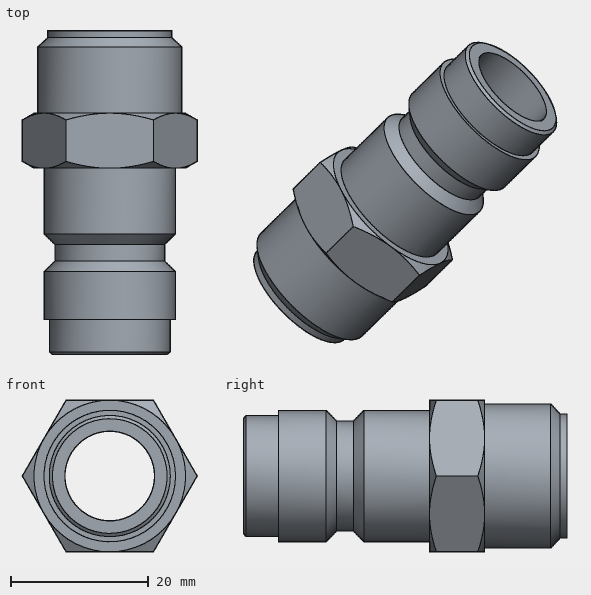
import cadquery as cq
import math

length = 47.0
bore_radius = 6.5

nose_radius = 8.8
nose_length = 5.08
nose_chamfer_width = 0.45
nose_chamfer_length = 0.38
body_radius = 9.55

groove_radius = 8.0
groove_start = 12.05
groove_end = 17.5
groove_wall_length = 1.5

hex_across_flats = 22.0
hex_start = 27.02
hex_width = 8.0
hex_end = hex_start + hex_width
hex_chamfer_angle = 30.0

thread_radius = 10.5
tip_radius = 9.02
tip_length = 1.05
thread_taper_length = 1.35


def revolve_about_axis(points):
    """Revolve a closed (radius, axial position) outline about Y."""
    return cq.Workplane("XY").polyline(points).close().revolve(360, (0, 0, 0), (0, 1, 0))


def turned_body():
    tip_start = length - tip_length
    return revolve_about_axis([
        (0, 0),
        (nose_radius - nose_chamfer_width, 0),
        (nose_radius, nose_chamfer_length),
        (nose_radius, nose_length),
        (body_radius, nose_length),
        (body_radius, groove_start),
        (groove_radius, groove_start + groove_wall_length),
        (groove_radius, groove_end - groove_wall_length),
        (body_radius, groove_end),
        (body_radius, hex_start),
        (thread_radius, hex_start),
        (thread_radius, tip_start - thread_taper_length),
        (tip_radius, tip_start),
        (tip_radius, length),
        (0, length),
    ])


def chamfered_hexagon():
    """Hexagon with corners on X, its corners cut by a cone at both ends."""
    face_radius = hex_across_flats / 2
    corner_radius = face_radius / math.cos(math.pi / 6)
    chamfer_length = (corner_radius - face_radius) * math.tan(math.radians(hex_chamfer_angle))
    prism = (
        cq.Workplane("XZ", origin=(0, hex_end, 0))
        .polygon(6, 2 * corner_radius)
        .extrude(hex_width)
    )
    envelope = revolve_about_axis([
        (0, hex_start),
        (face_radius, hex_start),
        (corner_radius, hex_start + chamfer_length),
        (corner_radius, hex_end - chamfer_length),
        (face_radius, hex_end),
        (0, hex_end),
    ])
    return prism.intersect(envelope)


def through_bore():
    return cq.Workplane("XZ", origin=(0, length, 0)).circle(bore_radius).extrude(length)


centred_at_origin = (0, -length / 2, 0)
result = turned_body().union(chamfered_hexagon()).cut(through_bore()).translate(centred_at_origin)